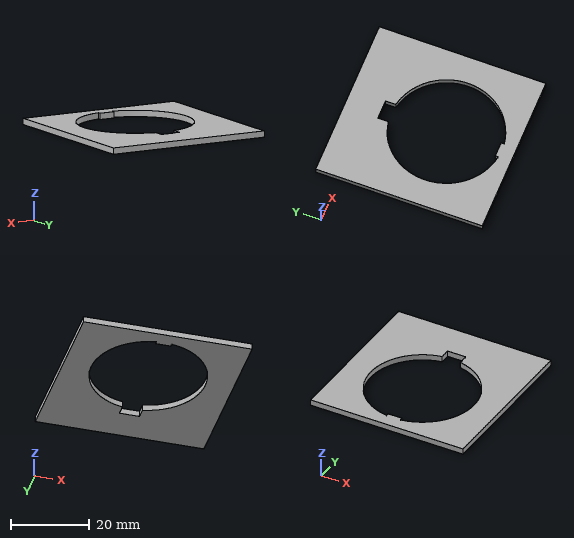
import cadquery as cq

plate_width = 44.8
plate_height = 45.75
plate_thickness = 1.7

hole_diameter = 30.3
hole_radius = hole_diameter / 2
hole_center_y = -4.3

notch_width = 5.3
notch_reach = 17.75

key_width = 4.1
key_reach = 14.2


def block_along_y(width, y_start, y_end):
    """Full-thickness block centered on X = 0 between two Y positions."""
    return (
        cq.Workplane("XY")
        .center(0, (y_start + y_end) / 2)
        .rect(width, y_end - y_start)
        .extrude(plate_thickness)
    )


plate = cq.Workplane("XY").rect(plate_width, plate_height).extrude(plate_thickness)

round_opening = (
    cq.Workplane("XY")
    .center(0, hole_center_y)
    .circle(hole_radius)
    .extrude(plate_thickness)
)
notch = block_along_y(notch_width, hole_center_y, hole_center_y + notch_reach)
key = block_along_y(key_width, hole_center_y - hole_radius, hole_center_y - key_reach)

opening = round_opening.union(notch).cut(key)
result = plate.cut(opening)